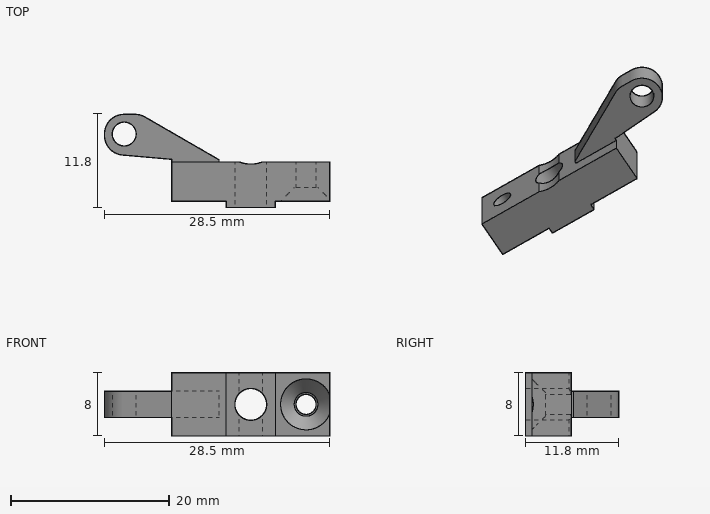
import cadquery as cq
import math

body_length = 20.0
body_depth = 5.0
height = 8.0
mid_x = body_length / 2
mid_z = height / 2

pad_width = 6.2
pad_depth = 0.8
cross_hole_diameter = 4.0

screw_inset = 3.02
screw_diameter = 2.5
sink_outer_diameter = 6.45
sink_inner_diameter = 3.0
sink_depth = 1.75

groove_radius = 4.0
groove_depth = 0.28

lever_thickness = 3.33
lever_overhang = 8.5
lever_reach = 6.0
eye_radius = 2.5
eye_hole_diameter = 3.0
eye_stretch = 0.17
lever_tip_x = 6.0
lever_tip_height = 0.25
lever_slope = math.radians(30)
underside_slope = math.radians(5)
shoulder_radius = 2.5


def make_block():
    """Main body with the centred pad on its front face."""
    body = cq.Workplane("XY").box(body_length, body_depth, height, centered=False)
    pad = (
        cq.Workplane("XY")
        .box(pad_width, pad_depth, height, centered=False)
        .translate((mid_x - pad_width / 2, -pad_depth, 0))
    )
    return body.union(pad)


def make_lever():
    """Tapered lever with a slightly elongated round eye at its free end."""
    left_x = -lever_overhang
    top_y = body_depth + lever_reach
    eye_x = left_x + eye_radius
    eye_y = top_y - eye_radius
    lower_y = eye_y - eye_stretch
    diagonal = math.sqrt(0.5) * eye_radius

    tip_y = body_depth + lever_tip_height
    shoulder_x = lever_tip_x - (top_y - tip_y) / math.tan(lever_slope)

    arc_end_x = eye_x - eye_radius * math.sin(underside_slope)
    arc_end_y = lower_y - eye_radius * math.cos(underside_slope)
    mid_angle = (math.pi / 2 - underside_slope) / 2
    arc_mid_x = eye_x - eye_radius * math.cos(mid_angle)
    arc_mid_y = lower_y - eye_radius * math.sin(mid_angle)
    root_y = arc_end_y + arc_end_x * math.tan(underside_slope)

    lever = (
        cq.Workplane("XY", origin=(0, 0, mid_z - lever_thickness / 2))
        .moveTo(shoulder_x, top_y)
        .lineTo(eye_x, top_y)
        .threePointArc((eye_x - diagonal, eye_y + diagonal), (left_x, eye_y))
        .lineTo(left_x, lower_y)
        .threePointArc((arc_mid_x, arc_mid_y), (arc_end_x, arc_end_y))
        .lineTo(0, root_y)
        .lineTo(0, body_depth)
        .lineTo(lever_tip_x, body_depth)
        .lineTo(lever_tip_x, tip_y)
        .close()
        .extrude(lever_thickness)
    )
    shoulder = cq.selectors.NearestToPointSelector((shoulder_x, top_y, mid_z))
    lever = lever.edges("|Z").edges(shoulder).fillet(shoulder_radius)

    eye_hole = cq.Workplane("XY").center(eye_x, eye_y).circle(eye_hole_diameter / 2).extrude(height)
    return lever.cut(eye_hole)


def front_hole(x, diameter):
    """Round cutter running front to back through the pad and body."""
    return (
        cq.Workplane("XZ", origin=(x, body_depth, mid_z))
        .circle(diameter / 2)
        .extrude(body_depth + pad_depth)
    )


def make_countersink(x):
    """Conical cutter that opens at the front face of the body."""
    return (
        cq.Workplane("XZ", origin=(x, 0, mid_z))
        .circle(sink_outer_diameter / 2)
        .workplane(offset=-sink_depth)
        .circle(sink_inner_diameter / 2)
        .loft(ruled=True)
    )


def make_groove():
    """Cylindrical cutter that grazes the back face over the full height."""
    groove_y = body_depth + groove_radius - groove_depth
    return cq.Workplane("XY").center(mid_x, groove_y).circle(groove_radius).extrude(height)


screw_x = body_length - screw_inset
result = (
    make_block()
    .cut(make_groove())
    .cut(front_hole(mid_x, cross_hole_diameter))
    .cut(front_hole(screw_x, screw_diameter))
    .cut(make_countersink(screw_x))
    .union(make_lever())
)